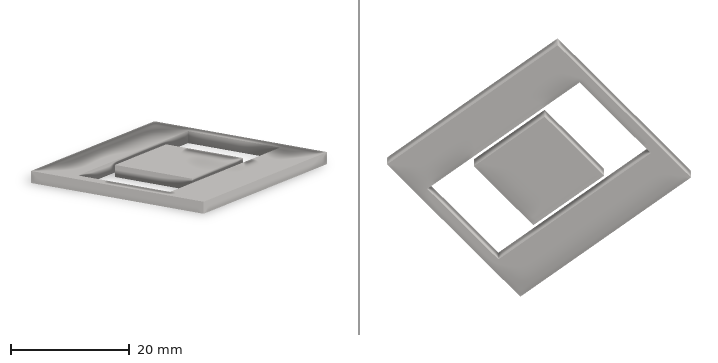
import cadquery as cq

FRAME_WIDTH = 35.0
FRAME_LENGTH = 37.6
THICKNESS = 2.1

SIDE_RAIL = 8.15
END_RAIL = 2.03
WINDOW_WIDTH = FRAME_WIDTH - 2 * SIDE_RAIL
WINDOW_LENGTH = FRAME_LENGTH - 2 * END_RAIL

PLATE_SIDE = 15.6


def slab(width, length):
    """Centred rectangular slab of the common thickness."""
    return cq.Workplane("XY").rect(width, length).extrude(THICKNESS)


def make_frame():
    """Outer slab with a window passing right through it."""
    return slab(FRAME_WIDTH, FRAME_LENGTH).cut(slab(WINDOW_WIDTH, WINDOW_LENGTH))


def make_plate():
    """Square plate, standing clear of the frame on every side."""
    return slab(PLATE_SIDE, PLATE_SIDE)


frame = make_frame()
plate = make_plate()

result = cq.Compound.makeCompound([frame.solids().val(), plate.val()])